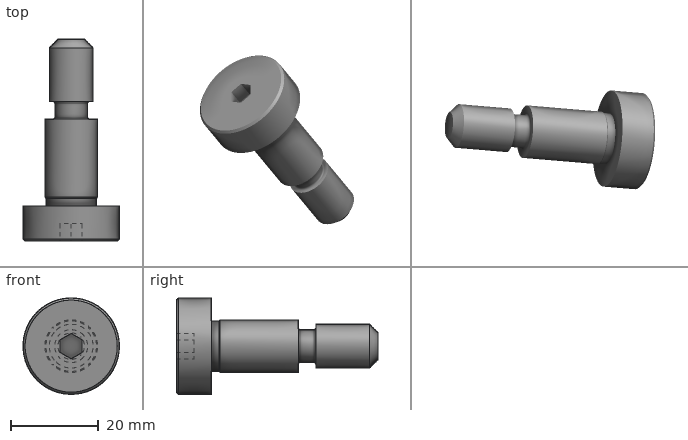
import cadquery as cq
import math

total_length = 46.0
head_diameter = 22.0
head_height = 8.0
head_chamfer = 0.5
neck_diameter = 11.5
neck_length = 1.75
shoulder_diameter = 12.0
shoulder_end = 27.8
groove_diameter = 7.5
groove_width = 4.0
groove_fillet = 0.4
tail_diameter = 10.0
tip_chamfer = 2.0
socket_across_flats = 5.0
socket_depth = 4.0

head_radius = head_diameter / 2
neck_radius = neck_diameter / 2
shoulder_radius = shoulder_diameter / 2
groove_radius = groove_diameter / 2
tail_radius = tail_diameter / 2
neck_end = head_height + neck_length
shoulder_start = neck_end + shoulder_radius - neck_radius
groove_end = shoulder_end + groove_width

arc_offset = groove_fillet * (1 - math.sqrt(0.5))
blend_radius = groove_radius + groove_fillet


def make_body():
    """Revolve the half profile of the screw about the Y axis."""
    return (
        cq.Workplane("XY")
        .moveTo(0, 0)
        .lineTo(head_radius - head_chamfer, 0)
        .lineTo(head_radius, head_chamfer)
        .lineTo(head_radius, head_height)
        .lineTo(neck_radius, head_height)
        .lineTo(neck_radius, neck_end)
        .lineTo(shoulder_radius, shoulder_start)
        .lineTo(shoulder_radius, shoulder_end)
        .lineTo(blend_radius, shoulder_end)
        .threePointArc(
            (groove_radius + arc_offset, shoulder_end + arc_offset),
            (groove_radius, shoulder_end + groove_fillet),
        )
        .lineTo(groove_radius, groove_end - groove_fillet)
        .threePointArc(
            (groove_radius + arc_offset, groove_end - arc_offset),
            (blend_radius, groove_end),
        )
        .lineTo(tail_radius, groove_end)
        .lineTo(tail_radius, total_length - tip_chamfer)
        .lineTo(tail_radius - tip_chamfer, total_length)
        .lineTo(0, total_length)
        .close()
        .revolve(360, (0, 0, 0), (0, 1, 0))
    )


def make_socket():
    """Hexagonal prism sunk into the head, with two corners on the Z axis."""
    across_corners = socket_across_flats / math.cos(math.pi / 6)
    return (
        cq.Workplane("XZ")
        .transformed(rotate=(0, 0, 90))
        .polygon(6, across_corners)
        .extrude(-socket_depth)
    )


result = make_body().cut(make_socket())